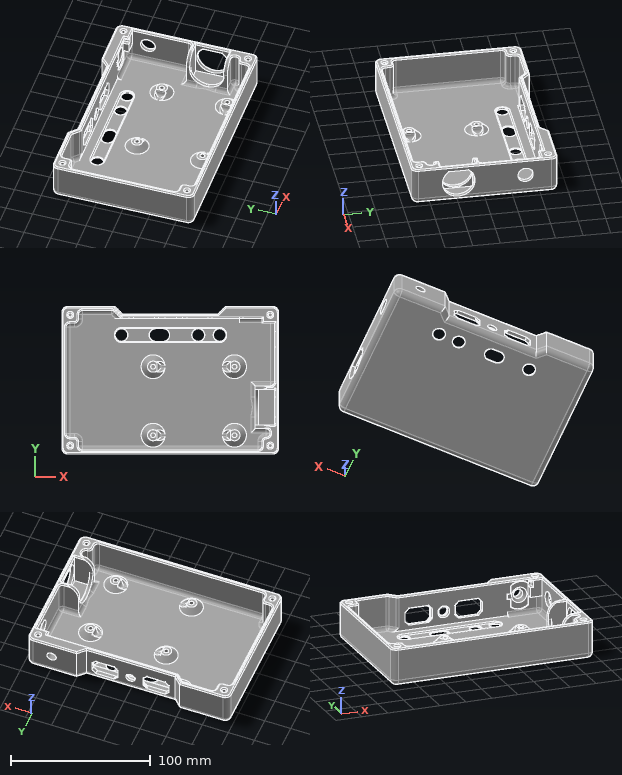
import cadquery as cq
import math

LENGTH = 155.0
WIDTH = 105.5
HEIGHT = 28.5
OUTER_RADIUS = 4.5
WALL = 3.0
FLOOR = 2.0
RIM_CHAMFER = 1.0
FLOOR_FILLET = 3.0
CORNER_RADIUS = 3.0

NOTCH_DEPTH = 5.6
NOTCH_LEFT = 38.0
NOTCH_RIGHT = LENGTH - NOTCH_LEFT
BEVEL_SHIFT = WALL * math.tan(math.radians(22.5))

INNER_RIGHT = LENGTH - WALL
INNER_BACK = WIDTH - WALL
NOTCH_FACE = WIDTH - NOTCH_DEPTH
INNER_NOTCH = NOTCH_FACE - WALL

BLOCK = 12.0
SCREW_INSET = 6.0
SCREW_DIAMETER = 3.0
SCREW_MOUTH = 5.0
SCREW_DEPTH = 12.0
HANGING_BLOCK_BOTTOM = 14.9

BAY_FRONT = 138.1
BAY_WALL = 2.5
BAY_LOW = 18.1
BAY_HIGH = 48.8
BAY_CENTER_Y = 33.6
BAY_CENTER_Z = 15.5
BAY_INNER_WIDTH = 2 * (BAY_HIGH - BAY_WALL - BAY_CENTER_Y)
BAY_MOUTH_RADIUS = BAY_INNER_WIDTH / 2
BAY_TOP_RADIUS = 10.7
BAY_HOLE_RADIUS = 11.8
BAY_HOLE_TOP = 24.8
SIDE_GAP_END = 148.8

STANDOFF_X = (65.3, 123.4)
STANDOFF_Y = (13.5, 62.5)
STANDOFF_BASE = 17.0
STANDOFF_TOP = 7.9
STANDOFF_HEIGHT = 4.5
STANDOFF_HOLE = 3.4
RELIEF_OFFSET = 2.8
RELIEF_WIDTH = 7.8

ROW_Y = 85.1
ROW_START = 37.7
ROW_END = 117.8
ROW_MOUTH = 11.0
ROW_HOLE = 9.0
ROW_HOLE_X = (42.6, 97.5, 112.8)
ROW_SLOT_X = 69.8
ROW_SLOT_LENGTH = 14.4

PORT_CENTER_X = 77.8
PORT_Z = 12.0
PORT_INNER = 9.6
PORT_OUTER = 29.6
PORT_HEIGHT = 12.9
PORT_CHAMFER = 3.0
PORT_RECESS_SHIFT = 1.0
PORT_RECESS_DEPTH = 1.4
PORT_HOLE = 7.0
PORT_HOLE_MOUTH = 9.0

CONTROL_LEFT = 129.5
CONTROL_RIGHT = LENGTH - BLOCK
CONTROL_X = (CONTROL_LEFT + CONTROL_RIGHT) / 2
CONTROL_Z = 16.3
CONTROL_RECESS_RADIUS = 10.5
CONTROL_RECESS_DEPTH = 1.0
CONTROL_MOUTH = 11.6
CONTROL_HOLE = 7.0
SQUARE_FLOOR_END = 126.8
TAB_LEFT = 126.8
TAB_HEIGHT = 4.0
BLOCK_GROOVE_LENGTH = 2.5
BLOCK_GROOVE_BEHIND = 1.0
BLOCK_GROOVE_BOTTOM = 22.3
BLOCK_GROOVE_TOP = 26.7
SIDE_HOLE = 11.0
SIDE_HOLE_Y = 82.2
SIDE_HOLE_Z = 16.3


def box(x0, x1, y0, y1, z0, z1):
    return cq.Workplane("XY").box(x1 - x0, y1 - y0, z1 - z0, centered=False).translate((x0, y0, z0))


def cylinder_y(diameter, x, z, y0, length):
    """Cylinder running in +Y from y0."""
    return cq.Workplane("XZ", origin=(x, y0, z)).circle(diameter / 2).extrude(-length)


def cylinder_x(diameter, y, z, x0, length):
    """Cylinder running in +X from x0."""
    return cq.Workplane("YZ", origin=(x0, y, z)).circle(diameter / 2).extrude(length)


def cone(start, direction, start_diameter, end_diameter, length):
    return cq.Workplane(
        cq.Solid.makeCone(start_diameter / 2, end_diameter / 2, length, cq.Vector(*start), cq.Vector(*direction))
    )


def make_shell():
    outline = [
        (0, 0),
        (LENGTH, 0),
        (LENGTH, WIDTH),
        (NOTCH_RIGHT, WIDTH),
        (NOTCH_RIGHT - NOTCH_DEPTH, NOTCH_FACE),
        (NOTCH_LEFT + NOTCH_DEPTH, NOTCH_FACE),
        (NOTCH_LEFT, WIDTH),
        (0, WIDTH),
    ]
    shell = cq.Workplane("XY").polyline(outline).close().extrude(HEIGHT)
    for x in (0, LENGTH):
        for y in (0, WIDTH):
            corner = cq.selectors.NearestToPointSelector((x, y, HEIGHT / 2))
            shell = shell.edges(corner).fillet(OUTER_RADIUS)
    return shell.faces("<Z").edges().fillet(OUTER_RADIUS)


def make_cavity():
    """Main hollow, leaving the screw blocks and the bay with its round mouth standing."""
    back_corner = (NOTCH_LEFT - BEVEL_SHIFT, INNER_BACK)
    notch_corner = (NOTCH_LEFT + NOTCH_DEPTH - BEVEL_SHIFT, INNER_NOTCH)
    rounded = [
        (BLOCK, WALL),
        (LENGTH - BLOCK, WALL),
        (LENGTH - BLOCK, BLOCK),
        (SIDE_GAP_END, BLOCK),
        (SIDE_GAP_END, BAY_LOW),
        (INNER_RIGHT, BAY_HIGH),
        (INNER_RIGHT, INNER_NOTCH),
        notch_corner,
        back_corner,
        (BLOCK, INNER_BACK),
        (BLOCK, WIDTH - BLOCK),
        (WALL, WIDTH - BLOCK),
        (WALL, BLOCK),
        (BLOCK, BLOCK),
    ]
    bay_corners = [(BAY_FRONT, BAY_LOW), (BAY_FRONT, BAY_HIGH)]
    outline = rounded[:5] + bay_corners + rounded[5:]
    cavity = cq.Workplane("XY", origin=(0, 0, FLOOR)).polyline(outline).close().extrude(HEIGHT - FLOOR)
    for x, y in rounded:
        corner = cq.selectors.NearestToPointSelector((x, y, (HEIGHT + FLOOR) / 2))
        cavity = cavity.edges(corner).fillet(CORNER_RADIUS)
    mouth = cylinder_x(2 * BAY_MOUTH_RADIUS, BAY_CENTER_Y, BAY_CENTER_Z, BAY_FRONT, BAY_WALL)
    cavity = cavity.union(mouth.intersect(box(0, LENGTH, 0, WIDTH, 0, BAY_CENTER_Z)))
    cavity = cavity.faces("<Z").edges().fillet(FLOOR_FILLET)
    square_floor = box(
        NOTCH_LEFT - FLOOR_FILLET, SQUARE_FLOOR_END, INNER_NOTCH - 2 * FLOOR_FILLET, INNER_NOTCH, FLOOR, HEIGHT / 2
    )
    return cavity.union(square_floor)


def make_hanging_block():
    return box(LENGTH - BLOCK, INNER_RIGHT, WIDTH - BLOCK, INNER_NOTCH, HANGING_BLOCK_BOTTOM, HEIGHT)


def make_screw_holes():
    countersink = (SCREW_MOUTH - SCREW_DIAMETER) / 2
    holes = cq.Workplane("XY")
    for x in (SCREW_INSET, LENGTH - SCREW_INSET):
        for y in (SCREW_INSET, WIDTH - SCREW_INSET):
            bore = cq.Workplane("XY", origin=(x, y, HEIGHT)).circle(SCREW_DIAMETER / 2).extrude(-SCREW_DEPTH)
            mouth = cone((x, y, HEIGHT), (0, 0, -1), SCREW_MOUTH, SCREW_DIAMETER, countersink)
            holes = holes.add(bore.union(mouth))
    return holes.combine()


def make_bay_cut():
    """Hollow of the bay, its rounded upper corner and its hole in the +X wall."""
    back = INNER_RIGHT
    low = BAY_CENTER_Y - BAY_INNER_WIDTH / 2
    high = BAY_CENTER_Y + BAY_INNER_WIDTH / 2
    hollow = box(BAY_FRONT + BAY_WALL, back, low, high, FLOOR, HEIGHT)
    open_front = box(BAY_FRONT, back, low, high, BAY_CENTER_Z, HEIGHT)
    flare = (
        cq.Workplane("XY", origin=((BAY_FRONT + BAY_WALL + back) / 2, BAY_CENTER_Y, HEIGHT - RIM_CHAMFER))
        .rect(back - BAY_FRONT - BAY_WALL, BAY_INNER_WIDTH)
        .extrude(RIM_CHAMFER, taper=-45)
    )
    top_corner = (
        cq.Workplane("XZ", origin=(0, BAY_HIGH, 0))
        .moveTo(BAY_FRONT, HEIGHT)
        .lineTo(BAY_FRONT, HEIGHT - BAY_TOP_RADIUS)
        .radiusArc((BAY_FRONT + BAY_TOP_RADIUS, HEIGHT), BAY_TOP_RADIUS)
        .close()
        .extrude(BAY_HIGH - BAY_LOW)
    )
    hole = cylinder_x(2 * BAY_HOLE_RADIUS, BAY_CENTER_Y, BAY_CENTER_Z, back, WALL)
    hole = hole.intersect(box(back, LENGTH, low, high, 0, BAY_HOLE_TOP))
    return hollow.union(open_front).union(flare).union(top_corner).union(hole)


def make_standoff(x, y, relief_side):
    """Conical boss with a pilot hole and a round-bottomed relief on its +X (1) or -X (-1) side."""
    boss = cone((x, y, FLOOR), (0, 0, 1), STANDOFF_BASE, STANDOFF_TOP, STANDOFF_HEIGHT)
    pilot = cq.Workplane("XY", origin=(x, y, FLOOR)).circle(STANDOFF_HOLE / 2).extrude(STANDOFF_HEIGHT)
    relief = (
        box(RELIEF_OFFSET, STANDOFF_BASE, -RELIEF_WIDTH / 2, RELIEF_WIDTH / 2, 0, STANDOFF_HEIGHT)
        .faces("<Z").edges().fillet(FLOOR_FILLET)
    )
    if relief_side < 0:
        relief = relief.mirror("YZ")
    return boss.cut(pilot).cut(relief.translate((x, y, FLOOR)))


def make_floor_row():
    """Flared slot sunk into the floor with round and long holes through it."""
    depth = FLOOR / 2
    slot = (
        cq.Workplane("XY", origin=((ROW_START + ROW_END) / 2, ROW_Y, FLOOR))
        .slot2D(ROW_END - ROW_START, ROW_MOUTH)
        .extrude(-depth, taper=45)
    )
    hole_centers = [(x, ROW_Y) for x in ROW_HOLE_X]
    round_holes = cq.Workplane("XY").pushPoints(hole_centers).circle(ROW_HOLE / 2).extrude(FLOOR)
    long_hole = cq.Workplane("XY").center(ROW_SLOT_X, ROW_Y).slot2D(ROW_SLOT_LENGTH, ROW_HOLE).extrude(FLOOR)
    return slot.union(round_holes).union(long_hole)


def port_prism(x0, x1, y0, length):
    prism = box(x0, x1, y0, y0 + length, PORT_Z - PORT_HEIGHT / 2, PORT_Z + PORT_HEIGHT / 2)
    return prism.edges("|Y").chamfer(PORT_CHAMFER)


def make_ports():
    """Two bevelled ports mirrored about a countersunk hole, each with its recess widened toward the hole."""
    recess_near = PORT_CENTER_X - PORT_INNER + PORT_RECESS_SHIFT
    through_near = PORT_CENTER_X - PORT_INNER
    far = PORT_CENTER_X - PORT_OUTER
    port = port_prism(far, through_near, INNER_NOTCH, WALL)
    port = port.union(port_prism(far, recess_near, INNER_NOTCH, PORT_RECESS_DEPTH))
    mirrored = port.mirror("YZ", (PORT_CENTER_X, 0, 0))
    hole = cylinder_y(PORT_HOLE, PORT_CENTER_X, PORT_Z, INNER_NOTCH, WALL)
    countersink = (PORT_HOLE_MOUTH - PORT_HOLE) / 2
    mouth = cone((PORT_CENTER_X, INNER_NOTCH, PORT_Z), (0, 1, 0), PORT_HOLE_MOUTH, PORT_HOLE, countersink)
    return port.union(mirrored).union(hole).union(mouth)


def make_control_cut():
    """Flat-sided round recess with locating pockets and a countersunk hole through the wall."""
    seat = INNER_NOTCH + CONTROL_RECESS_DEPTH
    recess = cylinder_y(2 * CONTROL_RECESS_RADIUS, CONTROL_X, CONTROL_Z, INNER_NOTCH, CONTROL_RECESS_DEPTH)
    recess = recess.intersect(box(CONTROL_LEFT, CONTROL_RIGHT, INNER_NOTCH, seat, 0, HEIGHT))
    hole = cylinder_y(CONTROL_HOLE, CONTROL_X, CONTROL_Z, seat, WIDTH - seat)
    countersink = (CONTROL_MOUTH - CONTROL_HOLE) / 2
    mouth = cone((CONTROL_X, seat, CONTROL_Z), (0, 1, 0), CONTROL_MOUTH, CONTROL_HOLE, countersink)
    tab = box(
        TAB_LEFT, CONTROL_LEFT, INNER_NOTCH, seat, CONTROL_Z - TAB_HEIGHT / 2, CONTROL_Z + TAB_HEIGHT / 2
    )
    groove_right = CONTROL_RIGHT + BLOCK_GROOVE_LENGTH
    groove_back = seat + BLOCK_GROOVE_BEHIND
    groove = box(
        CONTROL_RIGHT, groove_right, WIDTH - BLOCK, groove_back, BLOCK_GROOVE_BOTTOM, BLOCK_GROOVE_TOP
    )
    return recess.union(hole).union(mouth).union(tab).union(groove)


result = make_shell().cut(make_cavity()).union(make_hanging_block())
result = result.faces(">Z").edges().chamfer(RIM_CHAMFER)
result = result.cut(make_screw_holes())
result = result.cut(make_bay_cut())
result = result.cut(make_floor_row())
result = result.cut(make_ports())
result = result.cut(make_control_cut())
result = result.cut(cylinder_x(SIDE_HOLE, SIDE_HOLE_Y, SIDE_HOLE_Z, INNER_RIGHT, WALL))
for standoff_y in STANDOFF_Y:
    result = result.union(make_standoff(STANDOFF_X[0], standoff_y, 1))
    result = result.union(make_standoff(STANDOFF_X[1], standoff_y, -1))